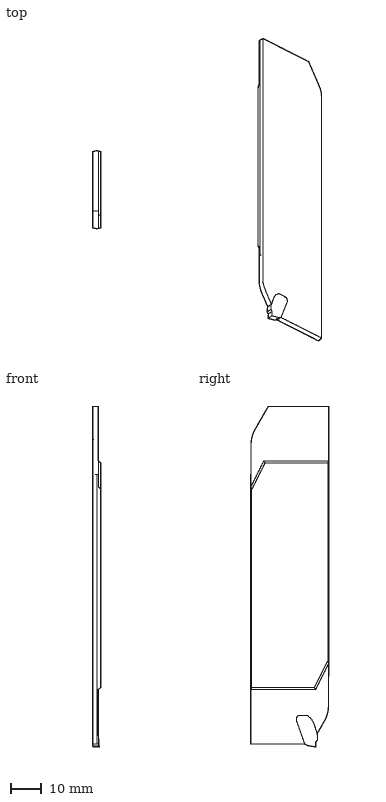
import cadquery as cq
import math

BLADE_BOTTOM = 1.0
BLADE_TOP = 110.0
BLADE_MIDDLE = (BLADE_BOTTOM + BLADE_TOP) / 2
FULL_THICKNESS = 2.6
END_THICKNESS = 1.9
HALF_WIDTH = 12.6
FACE_HALF_WIDTH = 12.3
RIDGE_X = 1.3

CORNER_START_Y = 6.9
CORNER_ANGLE = 30.0
CORNER_RADIUS = 10.1
RELIEF_HALF_WIDTH = 12.5
RELIEF_LENGTH = 22.0

SHOULDER_DROP = 17.6
SHOULDER_SIDE_DROP = 26.2
SHOULDER_BEND_Y = 8.4
SHOULDER_BEVEL = 0.7
MARGIN = 2.2

HEAD_CORNERS = [(4.8, 1.0), (5.8, 0.4), (8.5, 0), (8.5, 1.8), (9.0, 2.3), (9.0, 3.8)]
SHANK_CORNERS = [(7.8, 7.6), (7.0, 9.0), (5.7, 10.2), (2.9, 10.2)]
SHANK_ARC_MIDDLE = (2.2, 9.5)
SHANK_ARC_END = (2.2, 8.5)
HEAD_THICKNESS = 2.2
HEAD_LINE_START = (9.0, 3.8)
HEAD_LINE_END = (5.6, 0.5)
HEAD_RELIEF = 0.1
HEAD_RELIEF_LENGTH = 2.6


def turned_end_for_end(shape):
    """Turn a shape half a turn about the X-directed line through the blade's middle."""
    return shape.rotate((0, 0, BLADE_MIDDLE), (1, 0, BLADE_MIDDLE), 180)


def make_bar():
    section = [
        (0, -FACE_HALF_WIDTH),
        (RIDGE_X, -HALF_WIDTH),
        (FULL_THICKNESS, -FACE_HALF_WIDTH),
        (FULL_THICKNESS, FACE_HALF_WIDTH),
        (RIDGE_X, HALF_WIDTH),
        (0, FACE_HALF_WIDTH),
    ]
    bar = cq.Workplane("XY").workplane(offset=BLADE_BOTTOM).polyline(section).close()
    return bar.extrude(BLADE_TOP - BLADE_BOTTOM)


def make_corner_cutter():
    """Waste outside the sloping corner, its rounded lower end and the relieved ridge."""
    angle = math.radians(CORNER_ANGLE)
    slope_height = (RELIEF_HALF_WIDTH - CORNER_START_Y) / math.tan(angle)
    tangent_length = CORNER_RADIUS * math.tan(angle / 2)
    arc_end_z = BLADE_TOP - slope_height - tangent_length
    arc_centre_y = -RELIEF_HALF_WIDTH + CORNER_RADIUS

    def arc_point(turn):
        y = arc_centre_y - CORNER_RADIUS * math.cos(turn)
        return y, arc_end_z + CORNER_RADIUS * math.sin(turn)

    outline = (
        cq.Workplane("YZ")
        .moveTo(-CORNER_START_Y, BLADE_TOP)
        .lineTo(*arc_point(angle))
        .threePointArc(arc_point(angle / 2), arc_point(0))
        .lineTo(-RELIEF_HALF_WIDTH, BLADE_TOP - RELIEF_LENGTH)
        .lineTo(-HALF_WIDTH - MARGIN, BLADE_TOP - RELIEF_LENGTH)
        .lineTo(-HALF_WIDTH - MARGIN, BLADE_TOP)
        .close()
    )
    return outline.extrude(FULL_THICKNESS)


def make_shoulder_cutter():
    """Waste over the thin end, with a bevelled shoulder slanting down to the relieved edge."""
    straight_z = BLADE_TOP - SHOULDER_DROP
    side_z = BLADE_TOP - SHOULDER_SIDE_DROP
    outline = (
        cq.Workplane("YZ", origin=(END_THICKNESS, 0, 0))
        .moveTo(HALF_WIDTH + MARGIN, straight_z)
        .lineTo(-SHOULDER_BEND_Y, straight_z)
        .lineTo(-HALF_WIDTH, side_z)
        .lineTo(-HALF_WIDTH - MARGIN, side_z)
        .lineTo(-HALF_WIDTH - MARGIN, BLADE_TOP + MARGIN)
        .lineTo(HALF_WIDTH + MARGIN, BLADE_TOP + MARGIN)
        .close()
    )
    height = FULL_THICKNESS - END_THICKNESS
    bevel_angle = math.degrees(math.atan2(SHOULDER_BEVEL, height))
    return outline.extrude(height, taper=-bevel_angle)


def make_insert_prism(thickness):
    outline = (
        cq.Workplane("YZ")
        .polyline(HEAD_CORNERS + SHANK_CORNERS)
        .threePointArc(SHANK_ARC_MIDDLE, SHANK_ARC_END)
        .close()
    )
    return outline.extrude(thickness)


def make_blade():
    blade = make_bar()
    for cutter in (make_corner_cutter(), make_shoulder_cutter()):
        blade = blade.cut(cutter).cut(turned_end_for_end(cutter))
    return blade.cut(make_insert_prism(FULL_THICKNESS))


def make_head_zone():
    """Block holding the cutting head: relieved from X = 0 and widening away from the blade."""
    start_y, start_z = HEAD_LINE_START
    end_y, end_z = HEAD_LINE_END
    line_length = math.hypot(start_y - end_y, start_z - end_z)
    plane = cq.Plane(
        origin=(0, end_y, end_z),
        xDir=(1, 0, 0),
        normal=(0, start_y - end_y, start_z - end_z),
    )
    section = [
        (0, 0),
        (HEAD_RELIEF, HEAD_RELIEF_LENGTH),
        (HEAD_THICKNESS, HEAD_RELIEF_LENGTH),
        (END_THICKNESS, 0),
    ]
    zone = cq.Workplane(plane).workplane(offset=-MARGIN).polyline(section).close()
    return zone.extrude(line_length + 2 * MARGIN)


def make_insert():
    zone = make_head_zone()
    head = make_insert_prism(HEAD_THICKNESS).intersect(zone)
    beyond_line = zone.union(zone.mirror("YZ", (END_THICKNESS / 2, 0, 0)))
    shank = make_insert_prism(END_THICKNESS).cut(beyond_line)
    return shank.union(head)


blade = make_blade()
insert = make_insert()
result = cq.Compound.makeCompound([blade.solids().val(), insert.solids().val()])